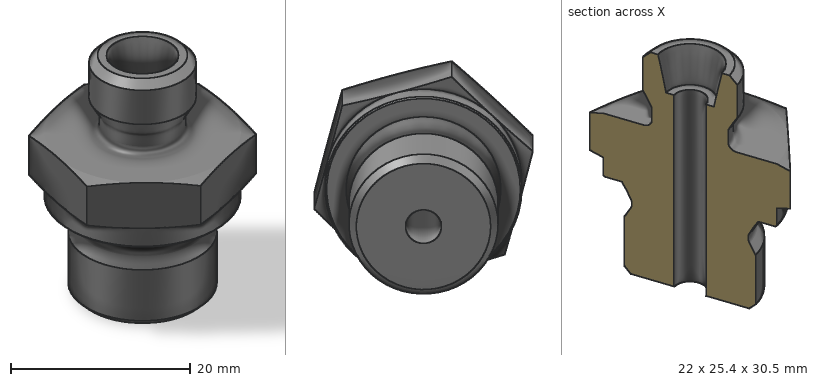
import cadquery as cq
import math

across_flats = 22.0
corner_radius = across_flats / math.sqrt(3)
collar_radius = across_flats / 2
collar_bottom = 12.0
collar_edge_chamfer = 0.18
hex_bottom = 14.52
hex_top = 20.5
hex_chamfer_angle = 15
corner_drop = (corner_radius - collar_radius) * math.tan(math.radians(hex_chamfer_angle))

stud_radius = 16.65 / 2
stud_chamfer = 0.82
stud_top = 7.47
stud_groove_radius = 7.38
stud_groove_bend = 1.28

total_height = 30.5
tip_radius = 12.0 / 2
tip_chamfer = 0.98
tip_bottom = 25.07
neck_radius = 9.7 / 2
neck_bend = 0.8
neck_fillet = 1.0

wall_angle = math.radians(30)
wall_slope = math.tan(wall_angle)

bore_radius = 4.0 / 2
seat_bottom_radius = 6.0 / 2
seat_mouth_radius = 8.05 / 2
seat_half_angle = 12
seat_depth = (seat_mouth_radius - seat_bottom_radius) / math.tan(math.radians(seat_half_angle))


def bend_point(radius, start, bend, angle, direction):
    """Point on an arc leaving a vertical line outwards, after turning by angle."""
    return (
        radius + bend * (1 - math.cos(angle)),
        start + direction * bend * math.sin(angle),
    )


def make_turned_body():
    """Both studs and the collar, revolved about Z."""
    bend_width = stud_groove_bend * (1 - math.cos(wall_angle))
    bend_height = stud_groove_bend * math.sin(wall_angle)
    lower_wall_height = (stud_radius - stud_groove_radius - bend_width) / wall_slope
    groove_middle = stud_top + lower_wall_height + bend_height
    groove_start = bend_point(stud_groove_radius, groove_middle, stud_groove_bend, wall_angle, -1)
    groove_end = bend_point(stud_groove_radius, groove_middle, stud_groove_bend, wall_angle, 1)
    groove_outer_radius = groove_end[0] + (collar_bottom - groove_end[1]) * wall_slope

    neck_bend_width = neck_bend * (1 - math.cos(wall_angle))
    neck_wall_height = (tip_radius - neck_radius - neck_bend_width) / wall_slope
    neck_top = tip_bottom - neck_wall_height - neck_bend * math.sin(wall_angle)
    neck_middle = bend_point(neck_radius, neck_top, neck_bend, wall_angle / 2, 1)
    neck_end = bend_point(neck_radius, neck_top, neck_bend, wall_angle, 1)
    fillet_middle = bend_point(
        neck_radius, hex_top + neck_fillet, neck_fillet, math.radians(45), -1
    )

    profile = (
        cq.Workplane("XZ")
        .lineTo(stud_radius - stud_chamfer, 0)
        .lineTo(stud_radius, stud_chamfer)
        .lineTo(stud_radius, stud_top)
        .lineTo(*groove_start)
        .threePointArc((stud_groove_radius, groove_middle), groove_end)
        .lineTo(groove_outer_radius, collar_bottom)
        .lineTo(collar_radius - collar_edge_chamfer, collar_bottom)
        .lineTo(collar_radius, collar_bottom + collar_edge_chamfer)
        .lineTo(collar_radius, hex_top)
        .lineTo(neck_radius + neck_fillet, hex_top)
        .threePointArc(fillet_middle, (neck_radius, hex_top + neck_fillet))
        .lineTo(neck_radius, neck_top)
        .threePointArc(neck_middle, neck_end)
        .lineTo(tip_radius, tip_bottom)
        .lineTo(tip_radius, total_height - tip_chamfer)
        .lineTo(tip_radius - tip_chamfer, total_height)
        .lineTo(0, total_height)
        .close()
    )
    return profile.revolve(360, (0, 0, 0), (0, 1, 0))


def make_hexagon():
    """Hexagon with corners on the Y axis and conically chamfered ends."""
    prism = (
        cq.Workplane("XY", origin=(0, 0, hex_bottom))
        .polygon(6, 2 * corner_radius)
        .extrude(hex_top - hex_bottom)
        .rotate((0, 0, 0), (0, 0, 1), 30)
    )
    envelope = (
        cq.Workplane("XZ")
        .moveTo(0, hex_bottom)
        .lineTo(collar_radius, hex_bottom)
        .lineTo(corner_radius, hex_bottom + corner_drop)
        .lineTo(corner_radius, hex_top - corner_drop)
        .lineTo(collar_radius, hex_top)
        .lineTo(0, hex_top)
        .close()
        .revolve(360, (0, 0, 0), (0, 1, 0))
    )
    return prism.intersect(envelope)


def make_bore():
    """Through bore opening into the conical tube seat at the top."""
    seat_bottom = total_height - seat_depth
    return (
        cq.Workplane("XZ")
        .lineTo(bore_radius, 0)
        .lineTo(bore_radius, seat_bottom)
        .lineTo(seat_bottom_radius, seat_bottom)
        .lineTo(seat_mouth_radius, total_height)
        .lineTo(0, total_height)
        .close()
        .revolve(360, (0, 0, 0), (0, 1, 0))
    )


result = make_turned_body().union(make_hexagon()).cut(make_bore())